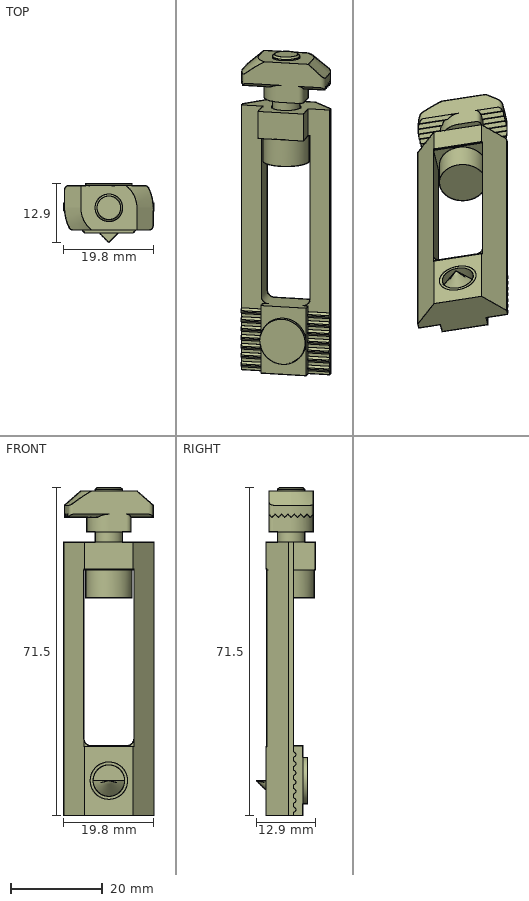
import cadquery as cq

total_height = 71.5

frame_half_width = 9.9
frame_height = 59.6
wing_back_y = 0.6
wing_edge_y = -0.6
front_y = -5.5
front_half_width = 5.3
slot_half_width = 5.4
slot_bottom_z = 15.2
slot_top_z = 53.55
slot_corner_radius = 1.6
slot_relief_depth = 0.2
slot_relief_margin = 0.2
lug_half_width = 5.1
lug_back_y = 5.3
pad_back_y = 2.6
screw_hole_radius = 3.2

grip_tooth_count = 7
grip_tooth_pitch = 2.0
grip_tooth_height = 0.5
grip_tooth_tip = 0.3
first_grip_tooth_z = 1.3

shank_radius = 3.0
shank_chamfer = 0.4
screw_head_radius = 5.1
screw_head_height = 6.1

nut_length = 19.4
nut_half_length = nut_length / 2
nut_half_width = 4.85
nut_top_z = 70.8
nut_bottom_z = 65.0
nut_stem_bottom_z = 61.85
nut_corner_radius = 1.0
nut_taper_run = 3.6
nut_taper_drop = 3.15
nut_tooth_count = 7

pin_z = slot_bottom_z / 2
pin_radius = 4.1
pin_flange_radius = 5.1
pin_flange_thickness = 1.0
pin_cup_radius = 3.4
pin_cup_depth = 1.35
pin_flat_depth = 3.0


def box_between(x_range, y_range, z_range):
    """Return a box given by its lower and upper limits along each axis."""
    size = [high - low for low, high in (x_range, y_range, z_range)]
    corner = (x_range[0], y_range[0], z_range[0])
    return cq.Workplane("XY").box(*size, centered=False).translate(corner)


def y_cylinder(radius, start_y, end_y):
    """Cylinder along Y on the pin axis."""
    return (
        cq.Workplane("XZ", origin=(0, start_y, pin_z))
        .circle(radius)
        .extrude(start_y - end_y)
    )


def grip_tooth(center_z):
    """Flat-topped 45-degree tooth running along X on the back of the wings."""
    half_tip = grip_tooth_tip / 2
    half_base = half_tip + grip_tooth_height
    tip_y = wing_back_y + grip_tooth_height
    return (
        cq.Workplane("YZ", origin=(-frame_half_width, 0, center_z))
        .polyline([
            (wing_back_y, -half_base),
            (tip_y, -half_tip),
            (tip_y, half_tip),
            (wing_back_y, half_base),
        ])
        .close()
        .extrude(2 * frame_half_width)
    )


def make_frame():
    """Slotted bar with a screw lug at the top and a toothed clamping pad at the bottom."""
    wings = (
        cq.Workplane("XY")
        .polyline([
            (-frame_half_width, wing_back_y),
            (-frame_half_width, wing_edge_y),
            (-front_half_width, front_y),
            (front_half_width, front_y),
            (frame_half_width, wing_edge_y),
            (frame_half_width, wing_back_y),
        ])
        .close()
        .extrude(frame_height)
    )
    slot = box_between(
        (-slot_half_width, slot_half_width),
        (front_y, wing_back_y),
        (slot_bottom_z, slot_top_z),
    ).edges("|Y and <Z").fillet(slot_corner_radius)
    relief = box_between(
        (-slot_half_width, slot_half_width),
        (front_y, front_y + slot_relief_depth),
        (slot_bottom_z - slot_relief_margin, slot_top_z + slot_relief_margin),
    )
    frame = wings.cut(slot).cut(relief)

    lug_x = (-lug_half_width, lug_half_width)
    lug = box_between(lug_x, (wing_back_y, lug_back_y), (slot_top_z, frame_height))
    pad = box_between(lug_x, (wing_back_y, pad_back_y), (0, slot_bottom_z))
    frame = frame.union(lug).union(pad)

    for index in range(grip_tooth_count):
        frame = frame.union(grip_tooth(first_grip_tooth_z + index * grip_tooth_pitch))

    screw_hole = cq.Workplane("XY", origin=(0, 0, slot_top_z)).circle(screw_hole_radius)
    pin_hole = y_cylinder(pin_radius, pad_back_y, front_y)
    return frame.cut(screw_hole.extrude(frame_height - slot_top_z)).cut(pin_hole)


def make_screw():
    """Cap screw with its head in the slot and its shank pointing up."""
    shank = (
        cq.Workplane("XY", origin=(0, 0, slot_top_z))
        .circle(shank_radius)
        .extrude(total_height - slot_top_z)
        .faces(">Z")
        .chamfer(shank_chamfer)
    )
    head = (
        cq.Workplane("XY", origin=(0, 0, slot_top_z))
        .circle(screw_head_radius)
        .extrude(-screw_head_height)
    )
    return head.union(shank)


def swing_block(outline):
    """Block with half-turn symmetry, made from its right-hand outline of (X, Z) points.

    The outline runs straight through the +X-Y quarter and turns about the Z axis through
    the +X+Y quarter, so two opposite corners are round and the other two are square.
    """
    square_quarter = cq.Workplane("XZ").polyline(outline).close().extrude(nut_half_width)
    round_quarter = cq.Workplane("XZ").polyline(outline).close().revolve(90, (0, 0, 0), (0, 1, 0))
    half = square_quarter.union(round_quarter)
    return half.union(half.rotate((0, 0, 0), (0, 0, 1), 180))


def plan_prism(radius, bottom_z, top_z):
    """Upright prism with the plan of the swing shape: two round quarters and two square ones."""
    rectangle = [(0, bottom_z), (radius, bottom_z), (radius, top_z), (0, top_z)]
    slab = box_between(
        (-radius, radius), (-nut_half_width, nut_half_width), (bottom_z, top_z)
    )
    return swing_block(rectangle).intersect(slab)


def make_nut():
    """Hammer nut with sloped ends, a toothed underside and a stem around the shank."""
    tapered = swing_block([
        (0, nut_bottom_z),
        (nut_half_length, nut_bottom_z),
        (nut_half_length, nut_top_z - nut_taper_drop),
        (nut_half_length - nut_taper_run, nut_top_z),
        (0, nut_top_z),
    ])
    plan = plan_prism(nut_half_length, nut_bottom_z, nut_top_z)
    plan = plan.edges("|Z and (>Y or <Y)").fillet(nut_corner_radius)
    nut = tapered.intersect(plan)

    tooth_pitch = 2 * nut_half_width / nut_tooth_count
    for index in range(nut_tooth_count + 1):
        groove = (
            cq.Workplane("YZ", origin=(-nut_half_length, 0, nut_bottom_z))
            .center(index * tooth_pitch - nut_half_width, 0)
            .polyline([(-tooth_pitch / 2, 0), (0, tooth_pitch / 2), (tooth_pitch / 2, 0)])
            .close()
            .extrude(2 * nut_half_length)
        )
        nut = nut.cut(groove)

    stem_top_z = nut_bottom_z + tooth_pitch
    stem_plan = plan_prism(nut_half_width, nut_stem_bottom_z, stem_top_z)
    square_corners = stem_plan.edges(">(1, -1, 0) or <(1, -1, 0)")
    stem = square_corners.fillet(nut_corner_radius)
    bore = cq.Workplane("XY", origin=(0, 0, nut_stem_bottom_z)).circle(shank_radius)
    return nut.union(stem).cut(bore.extrude(nut_top_z - nut_stem_bottom_z))


def make_pin():
    """Flanged pin through the pad, cupped at the front around a half-cone point."""
    flange_back_y = pad_back_y + pin_flange_thickness
    cup_floor_y = front_y + pin_cup_depth
    flat_end_y = front_y + pin_flat_depth
    flange = y_cylinder(pin_flange_radius, flange_back_y, pad_back_y)
    body = y_cylinder(pin_radius, pad_back_y, front_y)
    cup = y_cylinder(pin_cup_radius, cup_floor_y, front_y)

    cone = cq.Workplane("XY").add(
        cq.Solid.makeCone(
            pin_cup_radius, 0, pin_cup_radius,
            pnt=cq.Vector(0, cup_floor_y, pin_z), dir=cq.Vector(0, -1, 0),
        )
    )
    upper_half = box_between(
        (-pin_cup_radius, pin_cup_radius),
        (cup_floor_y - pin_cup_radius, flat_end_y),
        (pin_z, pin_z + pin_cup_radius),
    )
    recess = y_cylinder(pin_cup_radius, flat_end_y, front_y).intersect(upper_half)
    return flange.union(body).cut(cup).cut(recess).union(cone.cut(upper_half))


frame = make_frame()
screw = make_screw()
nut = make_nut()
pin = make_pin()
result = cq.Compound.makeCompound([frame.val(), screw.val(), nut.val(), pin.val()])